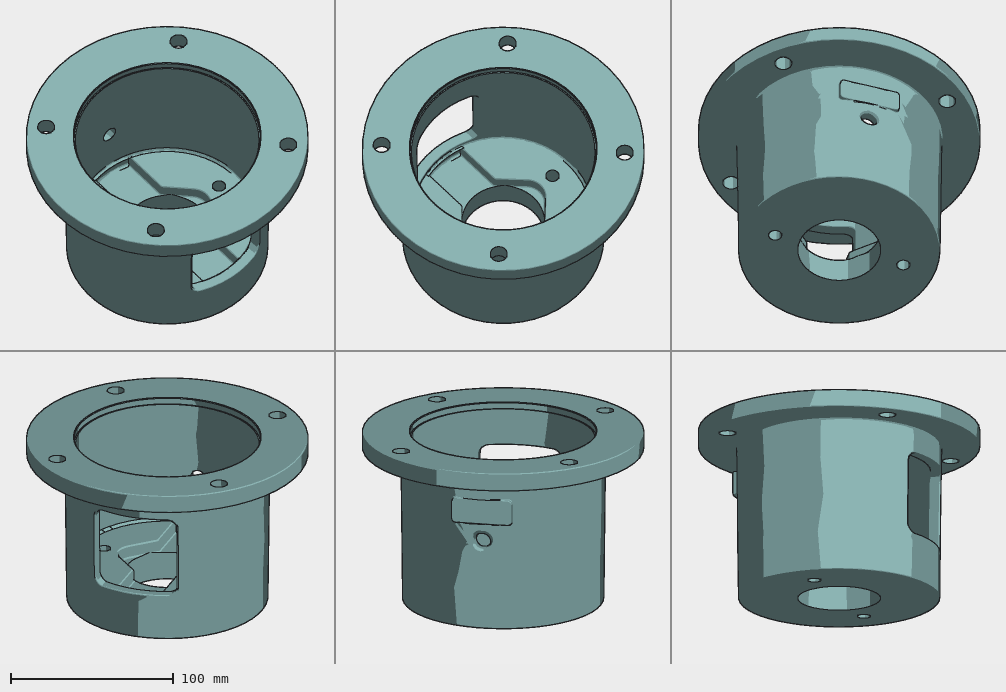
import cadquery as cq
import math

height = 107.95
flange_dia = 172.97
flange_thickness = 11.1
flange_edge_fillet = 0.8
flange_z = height - flange_thickness
bolt_spacing = 105.5
bolt_hole_dia = 10.4

barrel_top_radius = 63.0
barrel_bottom_radius = 61.9
barrel_edge_fillet = 0.8
neck_fillet = 1.5

pilot_radius = 57.15
pilot_depth = 4.2
pilot_chamfer = 0.5
shoulder_z = height - pilot_depth
bore_top_radius = 56.3
bore_floor_radius = 55.2
floor_z = 26.0
floor_fillet = 1.7

shaft_hole_dia = 50.8
pin_spacing = 82.5
pin_hole_dia = 8.1

recess_depth = 8.0
recess_z = floor_z - recess_depth
slot_half_width = 13.6
diamond_tip = 31.1
diamond_tip_radius = 11.7
diamond_corner = diamond_tip + (math.sqrt(2) - 1) * diamond_tip_radius
waist_fillet = 2.0
recess_edge_fillet = 1.2

window_z = 55.1
window_width = 52.6
window_height = 51.4
window_corner_radius = 6.0
window_edge_fillet = 0.8

port_z = 55.9
port_outer_dia = 10.5
port_inner_dia = 9.5
port_mouth_fillet = 2.4

plate_width = 37.8
plate_height = 15.8
plate_z = 75.5
plate_face = 63.0
plate_corner_radius = 2.5
plate_edge_fillet = 0.6
plate_base_fillet = 0.6

margin = 0.5
overrun = 1.0
face_gap = 0.05


def cone(bottom_radius, top_radius, bottom_z, top_z):
    """Solid of revolution about Z with straight, possibly sloping, sides."""
    profile = [(0, bottom_z), (bottom_radius, bottom_z), (top_radius, top_z), (0, top_z)]
    return cq.Workplane("XZ").polyline(profile).close().revolve(360, (0, 0), (0, 1))


def inside(x_range, half_y, z_range):
    """Selector for edges centred in a box that is symmetric about Y = 0."""
    low = (x_range[0], -half_y, z_range[0])
    high = (x_range[1], half_y, z_range[1])
    return cq.selectors.BoxSelector(low, high)


def flanged_barrel():
    flange = cone(flange_dia / 2, flange_dia / 2, flange_z, height)
    flange = flange.edges("%CIRCLE").fillet(flange_edge_fillet)
    barrel = cone(barrel_bottom_radius, barrel_top_radius, 0, flange_z)
    barrel = barrel.faces("<Z").edges().fillet(barrel_edge_fillet)
    reach = barrel_top_radius + margin
    neck = inside((-reach, reach), reach, (flange_z - margin, flange_z + margin))
    return flange.union(barrel).edges(neck).fillet(neck_fillet)


def drafted_bore(bottom_z):
    """Main bore with a rounded bottom edge, from bottom_z up to the pilot shoulder."""
    main = cone(bore_floor_radius, bore_top_radius, bottom_z, shoulder_z)
    return main.faces("<Z").edges().fillet(floor_fillet)


def stepped_bore():
    pilot = cone(pilot_radius, pilot_radius, shoulder_z, height)
    mouth = cone(pilot_radius, pilot_radius + pilot_chamfer, height - pilot_chamfer, height)
    return drafted_bore(floor_z).union(pilot).union(mouth)


def recess_outline():
    """Slot and diamond joined, with sharp top and bottom edges; the slot overruns the bore."""
    tips = [(diamond_corner, 0), (0, diamond_corner), (-diamond_corner, 0), (0, -diamond_corner)]
    diamond = cq.Workplane("XY").polyline(tips).close().extrude(recess_depth)
    diamond = diamond.edges("|Z and (>Y or <Y)").fillet(diamond_tip_radius)
    slot = cq.Workplane("XY").rect(flange_dia, 2 * slot_half_width).extrude(recess_depth)
    waist_x = diamond_corner - slot_half_width + margin
    waist = inside((-waist_x, waist_x), slot_half_width + margin, (0, recess_depth))
    return slot.union(diamond).edges("|Z").edges(waist).fillet(waist_fillet)


def recess():
    """Recess cutter: rounded at its bottom edges, flared at its top edges, ended by the bore wall."""
    channel = recess_outline().faces("<Z").edges("not(<X or >X)").fillet(recess_edge_fillet)
    block = cq.Workplane("XY").rect(flange_dia, flange_dia).extrude(recess_depth)
    lands = block.cut(channel)
    top_edges = inside((-flange_dia, flange_dia), diamond_tip + margin, (0, recess_depth + margin))
    lands = lands.faces(">Z").edges(top_edges).edges("not(<X or >X)").fillet(recess_edge_fillet)
    flared = block.cut(lands).translate((0, 0, recess_z))
    return flared.intersect(drafted_bore(recess_z))


def cut_window(body):
    window = cq.Workplane("YZ", origin=(0, 0, window_z)).rect(window_width, window_height)
    window = window.extrude(flange_dia / 2).edges("|X").fillet(window_corner_radius)
    inner_x = math.sqrt(bore_floor_radius**2 - (window_width / 2) ** 2)
    half_height = window_height / 2 + margin
    rim = inside(
        (inner_x - margin, barrel_top_radius),
        window_width / 2 + margin,
        (window_z - half_height, window_z + half_height),
    )
    return body.cut(window).edges(rim).fillet(window_edge_fillet)


def cut_port(body):
    inner_x = -bore_floor_radius + overrun
    outer_x = -barrel_top_radius - overrun
    profile = [
        (inner_x, 0),
        (inner_x, port_inner_dia / 2),
        (outer_x, port_outer_dia / 2),
        (outer_x, 0),
    ]
    port = cq.Workplane("XZ").polyline(profile).close().revolve(360, (0, 0), (1, 0))
    port = port.translate((0, 0, port_z))
    reach = port_outer_dia / 2
    mouth = inside(
        (-barrel_top_radius, -barrel_bottom_radius), reach, (port_z - reach, port_z + reach)
    )
    return body.cut(port).edges(mouth).fillet(port_mouth_fillet)


def add_name_plate(body):
    plate_depth = plate_face - bore_top_radius
    plate = cq.Workplane("YZ", origin=(-plate_face, 0, plate_z)).rect(plate_width, plate_height)
    plate = plate.extrude(plate_depth).edges("|X").fillet(plate_corner_radius)
    plate = plate.faces("<X").edges().fillet(plate_edge_fillet)
    plate = plate.cut(drafted_bore(floor_z))
    edge_x = math.sqrt(barrel_bottom_radius**2 - (plate_width / 2) ** 2)
    half_height = plate_height / 2 + margin
    base = inside(
        (-plate_face + face_gap, -edge_x + margin),
        plate_width / 2 + margin,
        (plate_z - half_height, plate_z + half_height),
    )
    return body.union(plate).edges(base).fillet(plate_base_fillet)


def round_holes(points, dia):
    return cq.Workplane("XY").pushPoints(points).circle(dia / 2).extrude(height)


def cut_axial_holes(body):
    bolt_offset = bolt_spacing / 2
    pin_offset = pin_spacing / 2
    bolts = [(sx * bolt_offset, sy * bolt_offset) for sx in (-1, 1) for sy in (-1, 1)]
    pins = [(0, side * pin_offset) for side in (-1, 1)]
    for points, dia in ((bolts, bolt_hole_dia), (pins, pin_hole_dia), ([(0, 0)], shaft_hole_dia)):
        body = body.cut(round_holes(points, dia))
    return body


result = flanged_barrel().cut(stepped_bore()).cut(recess())
result = cut_window(result)
result = cut_port(result)
result = add_name_plate(result)
result = cut_axial_holes(result)